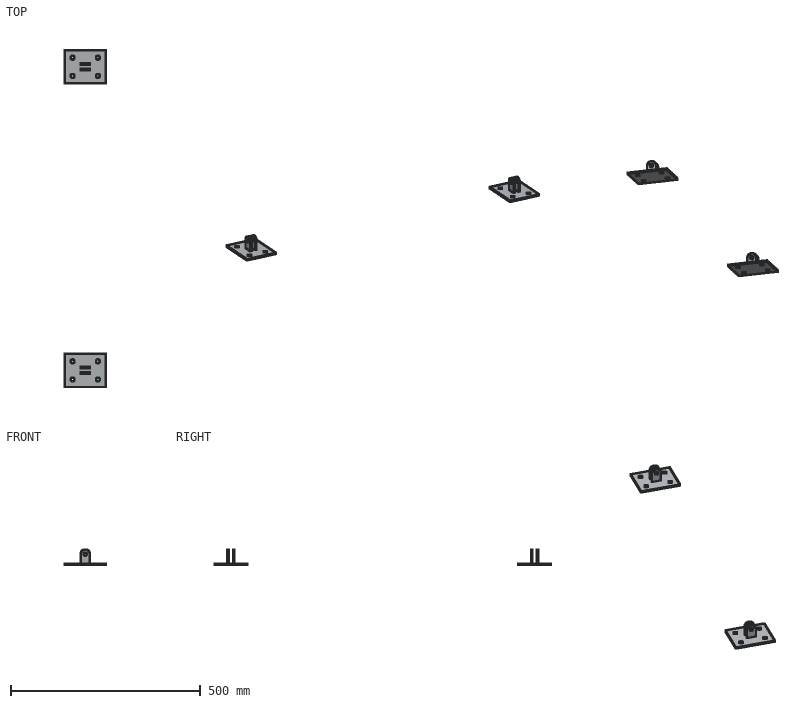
import cadquery as cq

overall_length = 888.0
overall_height = 41.0

plate_length = 108.0
plate_width = 88.0
plate_thickness = 4.0
bolt_hole_diameter = 10.0
bolt_spacing_x = 67.0
bolt_spacing_y = 48.0

ear_width = 25.0
ear_thickness = 5.0
ear_gap = 10.0
pin_hole_diameter = 8.2

ear_radius = ear_width / 2
pin_height = overall_height - ear_radius
ear_offset = (ear_gap + ear_thickness) / 2
bracket_offset = (overall_length - plate_width) / 2


def make_plate():
    """Base plate standing on Z = 0, with four bolt holes."""
    return (
        cq.Workplane("XY")
        .box(plate_length, plate_width, plate_thickness, centered=(True, True, False))
        .faces(">Z")
        .workplane()
        .rect(bolt_spacing_x, bolt_spacing_y, forConstruction=True)
        .vertices()
        .hole(bolt_hole_diameter)
    )


def make_ear(y_center):
    """Round-topped ear rising from the plate, with a pin hole concentric with its top."""
    return (
        cq.Workplane("XZ", origin=(0, y_center + ear_thickness / 2, 0))
        .moveTo(-ear_radius, plate_thickness)
        .lineTo(-ear_radius, pin_height)
        .threePointArc((0, overall_height), (ear_radius, pin_height))
        .lineTo(ear_radius, plate_thickness)
        .close()
        .moveTo(0, pin_height)
        .circle(pin_hole_diameter / 2)
        .extrude(ear_thickness)
    )


def make_bracket(y_center):
    """One bracket: plate and both ears as a single solid."""
    bracket = make_plate()
    for side in (-1, 1):
        bracket = bracket.union(make_ear(side * ear_offset))
    return bracket.translate((0, y_center, 0))


brackets = [make_bracket(side * bracket_offset) for side in (-1, 1)]

result = cq.Compound.makeCompound([bracket.val() for bracket in brackets])